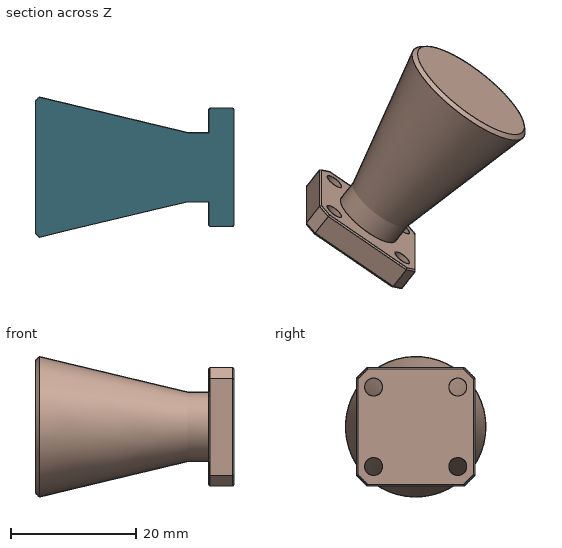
import cadquery as cq

total_length = 31.75
mouth_diameter = 22.48
mouth_chamfer = 0.65
neck_diameter = 11.1
cone_end = 24.35

flange_width = 19.0
flange_thickness = 4.05
corner_chamfer = 1.75
edge_chamfer = 0.25

hole_diameter = 2.85
hole_spacing_y = 13.45
hole_spacing_z = 12.7

flange_start = total_length - flange_thickness


def make_horn():
    """Solid of revolution: chamfered mouth, cone and cylindrical neck."""
    mouth_radius = mouth_diameter / 2
    neck_radius = neck_diameter / 2
    return (
        cq.Workplane("XY")
        .moveTo(0, 0)
        .lineTo(0, mouth_radius - mouth_chamfer)
        .lineTo(mouth_chamfer, mouth_radius)
        .lineTo(cone_end, neck_radius)
        .lineTo(flange_start, neck_radius)
        .lineTo(flange_start, 0)
        .close()
        .revolve(360, (0, 0, 0), (1, 0, 0))
    )


def make_flange():
    """Square plate with cut corners, bevelled faces and a hole at each corner."""
    plate = (
        cq.Workplane("YZ", origin=(flange_start, 0, 0))
        .rect(flange_width, flange_width)
        .extrude(flange_thickness)
        .edges("|X")
        .chamfer(corner_chamfer)
        .faces("<X or >X")
        .chamfer(edge_chamfer)
    )
    return (
        plate.faces("<X")
        .workplane(origin=(flange_start, 0, 0))
        .rect(hole_spacing_y, hole_spacing_z, forConstruction=True)
        .vertices()
        .hole(hole_diameter)
    )


result = make_horn().union(make_flange())